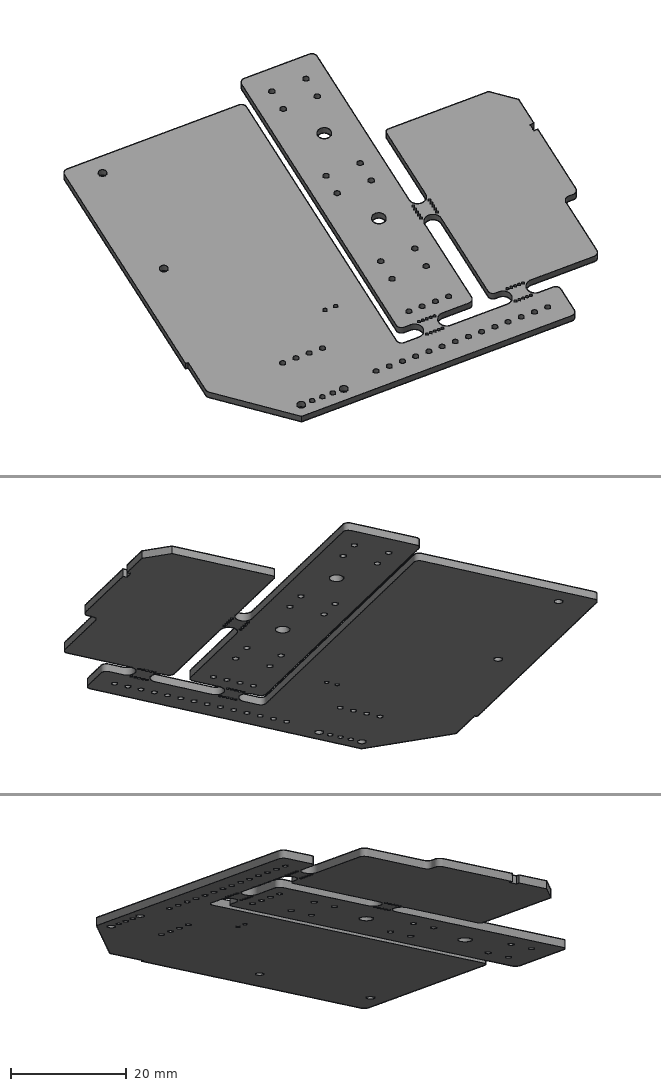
import cadquery as cq
import math

panel_width = 73.2
panel_length = 78.0
thickness = 1.5

right = panel_width / 2
left = -right
top = panel_length / 2
bottom = -top

corner_radius = 1.0
small_radius = 0.7
sharp = 0

tab_gap = 3.1
narrow_gap = 1.5

arm_left = 29.3
arm_top = 26.7
main_left = -31.6
main_top = -4.0
corner_cut = 12.25
edge_step_x = 17.0
edge_step = 0.5

boards_right = arm_left - tab_gap
strip_top = 12.0
strip_bottom = main_top + narrow_gap

upper_left = -15.4
upper_bottom = strip_top + tab_gap
upper_cut = 3.9
shoulder_x = 12.0
shoulder_y = 36.1
notch_left = -5.45
notch_width = 1.5
notch_depth = 0.75

tab_neck = 3.05
arm_tab_heights = (19.9, 2.9)
strip_tab_x = 3.75
bite_diameter = 0.5
bite_pitch = 0.75
bite_count = 5

header_diameter = 1.0
header_span = 7.65
header_count = 4
long_header_x = 33.0
long_header_middle = 6.3
long_header_span = 33.0
long_header_count = 14
strip_header_x = 23.3
strip_header_middle = 4.7
main_header_x = 24.25
main_header_middle = -20.05

strip_hole_middle = 4.75
strip_hole_spacing = 6.55
strip_hole_diameter = 1.1
strip_hole_columns = (-31.8, -27.4, -10.5, -6.2, 11.0, 15.45)
strip_mount_diameter = 2.5
strip_mount_columns = (-19.35, 2.1)
strip_mount_y = 5.45

plug_x = 34.2
plug_middle = -21.05
plug_pin_span = 4.0
plug_pin_count = 3
plug_pin_diameter = 0.9
plug_peg_span = 8.2
peg_diameter = 1.5

pair_x = 16.7
pair_middle = -11.0
pair_span = 2.0
pair_diameter = 0.75

main_mount_y = -32.9
main_mount_columns = (-28.1, -4.0)


def toward(start, end, distance):
    """Point at a distance from start on the line to end."""
    share = distance / math.dist(start, end)
    return (start[0] + share * (end[0] - start[0]), start[1] + share * (end[1] - start[1]))


def plate(corners):
    """Plate from (x, y, radius) corners, each rounded by a tangent arc."""
    points = [(x, y) for x, y, _ in corners]
    last_side = math.dist(points[-1], points[0])
    start = toward(points[-1], points[0], last_side / 2)
    outline = cq.Workplane("XY").moveTo(*start)
    for index, (x, y, radius) in enumerate(corners):
        corner = (x, y)
        before = points[index - 1]
        after = points[(index + 1) % len(points)]
        if radius == sharp:
            outline = outline.lineTo(x, y)
            continue
        unit_before = toward(corner, before, 0.8)
        unit_after = toward(corner, after, 0.8)
        half_angle = math.asin(math.dist(unit_before, unit_after) / 1.55)
        setback = radius / math.tan(half_angle)
        bisector = ((unit_before[0] + unit_after[0]) / 2, (unit_before[1] + unit_after[1]) / 2)
        arc_middle = toward(corner, bisector, radius / math.sin(half_angle) - radius)
        outline = outline.lineTo(*toward(corner, before, setback))
        outline = outline.threePointArc(arc_middle, toward(corner, after, setback))
    return outline.close().extrude(thickness)


def main_board():
    step_bottom = bottom + edge_step
    cut_top = step_bottom + corner_cut
    return plate([
        (main_left, bottom, corner_radius),
        (edge_step_x, bottom, sharp),
        (edge_step_x, step_bottom, sharp),
        (right - corner_cut, step_bottom, corner_radius),
        (right, cut_top, sharp),
        (right, arm_top, corner_radius),
        (arm_left, arm_top, corner_radius),
        (arm_left, main_top, corner_radius),
        (main_left, main_top, corner_radius),
    ])


def strip_board():
    return plate([
        (left, strip_bottom, corner_radius),
        (boards_right, strip_bottom, corner_radius),
        (boards_right, strip_top, corner_radius),
        (left, strip_top, corner_radius),
    ])


def upper_board():
    notch_right = notch_left + notch_width
    notch_floor = top - notch_depth
    return plate([
        (upper_left, upper_bottom, small_radius),
        (boards_right, upper_bottom, corner_radius),
        (boards_right, shoulder_y, corner_radius),
        (shoulder_x, shoulder_y, corner_radius),
        (shoulder_x, top, corner_radius),
        (notch_right, top, sharp),
        (notch_right, notch_floor, sharp),
        (notch_left, notch_floor, sharp),
        (notch_left, top, sharp),
        (upper_left + upper_cut, top, sharp),
        (upper_left, top - upper_cut, sharp),
    ])


def spread(middle, span, count):
    """Evenly spaced values centred on middle."""
    return [middle + span * (index / (count - 1) - 0.5) for index in range(count)]


def column(x, middle, span, count):
    """Evenly spaced points along Y at one X."""
    return [(x, y) for y in spread(middle, span, count)]


def pins(points, diameter):
    """Round cylinders through the full thickness."""
    return cq.Workplane("XY").pushPoints(points).circle(diameter / 2).extrude(thickness)


def tab(center, angle):
    """Bridge across a gap; its free sides are the round ends of the routed slots."""
    end_radius = tab_gap / 2
    end_offset = tab_neck / 2 + end_radius
    bridge = cq.Workplane("XY").rect(tab_gap, 2 * end_offset).extrude(thickness)
    bridge = bridge.cut(pins([(0, end_offset), (0, -end_offset)], tab_gap))
    return bridge.rotate((0, 0, 0), (0, 0, 1), angle).translate((*center, 0))


def bites(center, angle):
    """Perforation rows along both board edges at a tab."""
    span = bite_pitch * (bite_count - 1)
    rows = [point for x in (-tab_gap / 2, tab_gap / 2) for point in column(x, 0, span, bite_count)]
    return pins(rows, bite_diameter).rotate((0, 0, 0), (0, 0, 1), angle).translate((*center, 0))


arm_gap_middle = arm_left - tab_gap / 2
strip_gap_middle = strip_top + tab_gap / 2
tabs = [((arm_gap_middle, y), 0) for y in arm_tab_heights]
tabs.append(((strip_tab_x, strip_gap_middle), 90))

result = main_board().union(strip_board()).union(upper_board())
for center, angle in tabs:
    result = result.union(tab(center, angle))
for center, angle in tabs:
    result = result.cut(bites(center, angle))

header_holes = (
    column(long_header_x, long_header_middle, long_header_span, long_header_count)
    + column(strip_header_x, strip_header_middle, header_span, header_count)
    + column(main_header_x, main_header_middle, header_span, header_count)
)
strip_holes = [
    point for x in strip_hole_columns for point in column(x, strip_hole_middle, strip_hole_spacing, 2)
]
strip_mounts = [(x, strip_mount_y) for x in strip_mount_columns]
plug_pins = column(plug_x, plug_middle, plug_pin_span, plug_pin_count)
pegs = column(plug_x, plug_middle, plug_peg_span, 2) + [(x, main_mount_y) for x in main_mount_columns]
pair_holes = column(pair_x, pair_middle, pair_span, 2)

for points, diameter in (
    (header_holes, header_diameter),
    (strip_holes, strip_hole_diameter),
    (strip_mounts, strip_mount_diameter),
    (plug_pins, plug_pin_diameter),
    (pegs, peg_diameter),
    (pair_holes, pair_diameter),
):
    result = result.cut(pins(points, diameter))